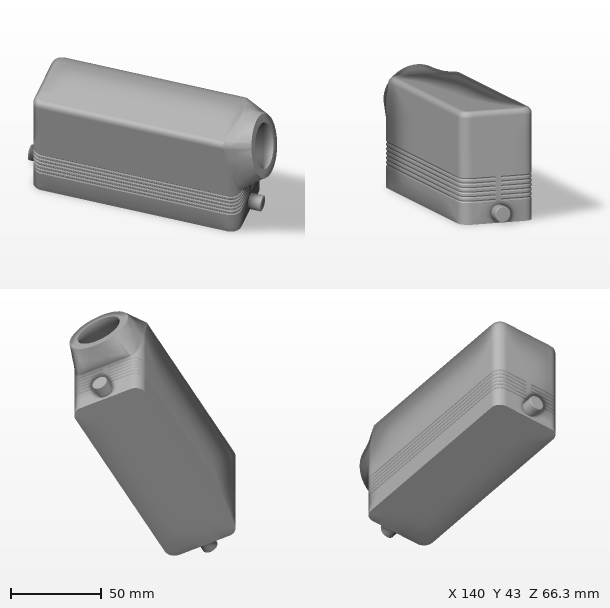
import cadquery as cq
import math

body_length = 120.2
body_width = 43.0
body_height = 63.0
corner_radius = 6.0
top_edge_radius = 3.2

groove_count = 6
groove_height = 1.4
groove_depth = 0.5
groove_pitch = 2.5
lowest_groove_bottom = 12.2
groove_gap = 3.0

peg_diameter = 9.0
peg_span = 134.7
peg_height = 6.0
peg_edge_radius = 0.5

nozzle_tilt = 14.5
nozzle_diameter = 35.9
nozzle_bore = 25.8
nozzle_length = 13.2
mouth_center_x = 68.2
mouth_center_z = 48.9

tilt = math.radians(nozzle_tilt)
nozzle_axis = cq.Vector(math.cos(tilt), 0, math.sin(tilt))
mouth_center = cq.Vector(mouth_center_x, 0, mouth_center_z)
root_center = mouth_center - nozzle_axis * nozzle_length

mouth_plane = cq.Plane(mouth_center, xDir=(0, 1, 0), normal=nozzle_axis)
root_plane = cq.Plane(root_center, xDir=(0, 1, 0), normal=nozzle_axis)


body_outline = cq.Sketch().rect(body_length, body_width).vertices().fillet(corner_radius)


def trimmed_body():
    """The body with its upper +X end cut off along the nozzle root plane."""
    body = cq.Workplane("XY").placeSketch(body_outline).extrude(body_height)
    body = body.faces(">Z").edges().fillet(top_edge_radius)
    cutter_size = 2 * body_height
    cutter = cq.Workplane(root_plane).rect(cutter_size, cutter_size).extrude(cutter_size)
    return body.cut(cutter)


def nozzle(root_face):
    """Ruled transition from the sloping cut to the round mouth, one face per edge of the cut."""
    corners = [root_plane.toLocalCoords(vertex.Center()) for vertex in root_face.Vertices()]
    angles = sorted(math.atan2(corner.y, corner.x) for corner in corners)
    radius = nozzle_diameter / 2

    def mouth_point(angle):
        return mouth_plane.toWorldCoords((radius * math.cos(angle), radius * math.sin(angle)))

    mouth_edges = [
        cq.Edge.makeThreePointArc(mouth_point(start), mouth_point((start + end) / 2), mouth_point(end))
        for start, end in zip(angles, angles[1:] + [angles[0] + 2 * math.pi])
    ]
    mouth_wire = cq.Wire.assembleEdges(mouth_edges)
    return cq.Workplane(cq.Solid.makeLoft([root_face.outerWire(), mouth_wire], True))


def groove(bottom):
    """Solid to remove for one groove: a slab less the two tapered halves of its core."""
    half_height = groove_height / 2
    taper = math.degrees(math.atan(groove_depth / half_height))
    middle = bottom + half_height
    base = cq.Workplane("XY", origin=(0, 0, bottom)).placeSketch(body_outline)
    slab = base.extrude(groove_height)
    core_half = base.extrude(half_height, taper=taper)
    core = core_half.union(core_half.mirror("XY", (0, 0, middle)))
    gap = cq.Workplane("XY", origin=(0, 0, middle)).box(2 * body_length, groove_gap, 2 * groove_height)
    return slab.cut(core).cut(gap)


def pegs():
    """One pin through the body whose two ends are the locking pegs."""
    pin = cq.Workplane("YZ", origin=(-peg_span / 2, 0, peg_height))
    pin = pin.circle(peg_diameter / 2).extrude(peg_span)
    return pin.faces("<X or >X").edges().fillet(peg_edge_radius)


body = trimmed_body()
root_face = body.faces(cq.selectors.DirectionMinMaxSelector(nozzle_axis, True)).val()
bore = cq.Workplane(mouth_plane).circle(nozzle_bore / 2).extrude(-nozzle_length)

result = body.union(nozzle(root_face)).cut(bore).union(pegs())
for index in range(groove_count):
    result = result.cut(groove(lowest_groove_bottom + index * groove_pitch))